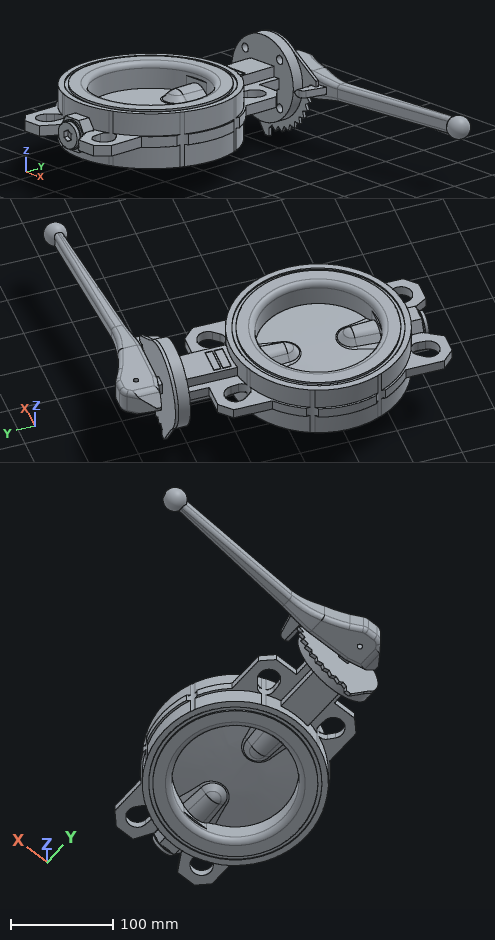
import cadquery as cq
import math


housing_radius = 91.0
housing_half_height = 28.5
liner_radius = 161 / 2
liner_half_height = 29.0
groove_radius = 169.0 / 2
groove_bottom = 26.7
bore_radius = 124.0 / 2
bore_rounding = 6.2

rib_radius = 93.0
rib_thickness = 11.0
lug_half_width = 62.5
lug_end = 121.0
lug_chamfer = 12.5
lug_gap_half_width_outer = 28.5
lug_gap_half_width_inner = 16.8
lug_gap_bottom = 101.5
bolt_count = 8
bolt_circle_radius = 99.5
bolt_hole_diameter = 18.0
slot_diameter = 22.5
slot_centre = (41, 99.5)

disc_edge_half = 2.0
disc_centre_half = 4.5
seat_flat = 60.5
seat_half_height = 19.0
boss_end_centre = 34.5
boss_root_scale = 1.15
boss_foot = (20.5, 2.0)
boss_ankle = (14.5, 4.8)
boss_shoulder = (8.5, 11.0)
boss_crest_side = (4.5, 13.7)
boss_crest = 14.7

neck_width = 34.3
neck_depth = 33.0
web_width = 48.7
flange_bottom = 147.0
flange_top = 159.5
flange_radius = 90.0 / 2
flange_hole_diameter = 9.0
flange_hole_offset = 25.0
label_width = 26.5
label_centres_and_heights = ((98.8, 8.5), (108.7, 7.2))
label_depth = 0.7

plate_top = 163.0
tooth_count = 9
tooth_pitch = 10
tooth_tip_radius = 57.0
tooth_root_radius = 51.8
stop_end = 64.0
stop_outer = 10.0
stop_inner = 4.0
stop_base = 55.5

hex_flats = 33.3
hex_end = 103.5
collar_diameter = 30.0
collar_end = 105.5
cap_diameter = 27.0
cap_end = 109.7
socket_flats = 10.3
socket_depth = 5.0

head_half_width = 14.0
head_bottom = 166.3
head_top = 207.0
rod_half_width = 9.0
rod_start = 84.5
rod_end = 233.2
head_rounding = 4.8
head_end = 47.3
head_end_top = 190.5
nose_tip = -32.5
nose_bottom = 172.8
nose_top = 178.0
nose_half_width = 1.7
nose_rounding = 2.0
nose_shoulder = -17.5
shoulder_rounding = 12.0
crown_start = -11.3
crown_end = 8.0
crown_rounding = 11.0
back_start = (22.3, 199.5)
back_middle = (34.3, 194.8)
throat_sections = ((58.3, 166.5, 187.5, 12.7), (70.3, 167.7, 185.5, 10.5))
rod_start_bottom = 169.5
rod_start_top = 184.8
rod_end_bottom = 185
rod_end_top = 194.8
rod_rounding = 4.0
pin_hole_diameter = 5.0
pin_hole_height = 188.3
ball_diameter = 24
ball_centre = (238.0, 190.0)
stem_side = 12.0
finger_front = 51.8
finger_nose = 5.0
finger_half_width = 3.8
finger_bottom = 141.5
finger_top = 169.7
finger_back_top = 71.0
finger_back_bottom = 63.8
finger_tip_rounding = 6.0


def square_to_y(y):
    """Workplane at height y whose extrusions run towards -Y (local axes X and Z)."""
    return cq.Workplane("XZ", origin=(0, y, 0))


def slab(thickness):
    """Workplane for a slab of this thickness centred on the mid-plane."""
    return cq.Workplane("XY").workplane(offset=-thickness / 2)


def make_ring():
    """Housing ring with its liner, seal grooves and rounded bore."""
    profile = (
        cq.Workplane("XZ")
        .moveTo(bore_radius, 0)
        .lineTo(bore_radius, liner_half_height - bore_rounding)
        .radiusArc((bore_radius + bore_rounding, liner_half_height), bore_rounding)
        .lineTo(liner_radius, liner_half_height)
        .lineTo(liner_radius, groove_bottom)
        .lineTo(groove_radius, groove_bottom)
        .lineTo(groove_radius, housing_half_height)
        .lineTo(housing_radius, housing_half_height)
        .lineTo(housing_radius, 0)
        .close()
    )
    half = profile.revolve(360, (0, 0, 0), (0, 1, 0))
    return half.union(half.mirror("XY"))


def make_rib_and_lugs():
    """Mid-plane rib with the upper lug pair and the notched lower lug pair."""
    lugs = slab(rib_thickness).rect(2 * lug_half_width, 2 * lug_end).extrude(rib_thickness)
    lugs = lugs.edges("|Z").chamfer(lug_chamfer)
    gap = (
        slab(rib_thickness)
        .moveTo(-lug_gap_half_width_outer, -lug_end)
        .lineTo(-lug_gap_half_width_inner, -lug_gap_bottom)
        .lineTo(-lug_gap_half_width_inner, -housing_radius)
        .lineTo(lug_gap_half_width_inner, -housing_radius)
        .lineTo(lug_gap_half_width_inner, -lug_gap_bottom)
        .lineTo(lug_gap_half_width_outer, -lug_end)
        .close()
        .extrude(rib_thickness)
    )
    rib = slab(rib_thickness).circle(rib_radius).extrude(rib_thickness)
    bore = slab(rib_thickness).circle(liner_radius).extrude(rib_thickness)
    return lugs.union(rib).cut(gap).cut(bore)


def make_bolt_clearances():
    """Bolt grooves on the housing rim and the slotted holes in the four lugs."""
    height = 2 * liner_half_height
    grooves = (
        slab(height)
        .polarArray(bolt_circle_radius, 180 / bolt_count, 360, bolt_count)
        .circle(bolt_hole_diameter / 2)
        .extrude(height)
    )
    lug_angle = math.radians(90 - 180 / bolt_count)
    bolt_point = (bolt_circle_radius * math.cos(lug_angle), bolt_circle_radius * math.sin(lug_angle))
    outline = (
        cq.Sketch()
        .arc(bolt_point, bolt_hole_diameter / 2, 0, 360)
        .arc(slot_centre, slot_diameter / 2, 0, 360)
        .hull()
    )
    slot = slab(rib_thickness).placeSketch(outline).extrude(rib_thickness)
    slots = slot.union(slot.mirror("YZ"))
    return grooves.union(slots).union(slots.mirror("XZ"))


def boss_half_points(scale):
    """Half section of a shaft boss from foot to crest: spread foot, sloping flank, rounded crest."""
    return [(x * scale, z) for x, z in (boss_foot, boss_ankle, boss_shoulder, boss_crest_side)]


def boss_section(y, scale):
    """Full cross section of a shaft boss in the plane at height y."""
    foot, ankle, shoulder, _ = boss_half_points(scale)
    right = [(foot[0], 0), foot, ankle, shoulder]
    left = [(-x, z) for x, z in right]
    outline = square_to_y(y).polyline(right).threePointArc((0, boss_crest), left[-1])
    for point in reversed(left[:-1]):
        outline = outline.lineTo(*point)
    return outline.close()


def make_boss():
    """Shaft boss on the +Y side: a widening ridge with a turned, rounded inner end."""
    foot, ankle, shoulder, crest_side = boss_half_points(1)
    end = (
        square_to_y(boss_end_centre)
        .polyline([(0, 0), (foot[0], 0), foot, ankle, shoulder])
        .threePointArc(crest_side, (0, boss_crest))
        .close()
        .revolve(360, (0, 0, 0), (0, 1, 0))
    )
    ridge_end = boss_section(boss_end_centre, 1).wires().val()
    ridge_root = boss_section(seat_flat, boss_root_scale).wires().val()
    return end.union(cq.Workplane(cq.Solid.makeLoft([ridge_end, ridge_root], True)))


def make_disc():
    """Domed disc with shaft bosses on both faces and flat-faced seats at the bore."""
    dome_rise = disc_centre_half - disc_edge_half
    dome_radius = (bore_radius**2 + dome_rise**2) / (2 * dome_rise)
    half_dome = (
        cq.Workplane("XZ")
        .lineTo(bore_radius, 0)
        .lineTo(bore_radius, disc_edge_half)
        .radiusArc((0, disc_centre_half), -dome_radius)
        .close()
        .revolve(360, (0, 0, 0), (0, 1, 0))
    )
    upper_boss = make_boss()
    half_disc = half_dome.union(upper_boss).union(upper_boss.mirror("XZ"))
    seat_height = 2 * seat_half_height
    inside = slab(seat_height).circle(bore_radius).extrude(seat_height)
    seats = inside.cut(cq.Workplane("XY").box(2 * bore_radius, 2 * seat_flat, seat_height))
    return half_disc.union(half_disc.mirror("XY")).intersect(inside).union(seats)


def make_neck():
    """Neck block with side webs and two shallow label recesses."""
    length = flange_bottom - liner_radius
    centre = (0, (flange_bottom + liner_radius) / 2, 0)
    neck = cq.Workplane("XY", origin=centre).box(neck_width, length, neck_depth)
    neck = neck.union(cq.Workplane("XY", origin=centre).box(web_width, length, rib_thickness))
    face = cq.Workplane("XY", origin=(0, 0, neck_depth / 2))
    for label_centre, label_height in label_centres_and_heights:
        label = face.center(0, label_centre).rect(label_width, label_height).extrude(-label_depth)
        neck = neck.cut(label)
    return neck


def make_ratchet_plate():
    """Round plate with a toothed quarter sector running from the -Z stop to the +X stop."""
    corner = flange_radius * math.cos(math.radians(45))
    first_stop = [
        (-corner, -corner),
        (-stop_outer, -stop_end),
        (-stop_inner, -stop_end),
        (-stop_inner, -stop_base),
    ]
    teeth = []
    for step in range(2 * tooth_count + 1):
        angle = math.radians(step * tooth_pitch / 2)
        radius = tooth_tip_radius if step % 2 else tooth_root_radius
        teeth.append((radius * math.sin(angle), -radius * math.cos(angle)))
    second_stop = [(-z, -x) for x, z in reversed(first_stop)]
    thickness = plate_top - flange_top
    sector = square_to_y(plate_top).polyline(first_stop + teeth + second_stop + [(0, 0)]).close()
    return sector.extrude(thickness).union(square_to_y(plate_top).circle(flange_radius).extrude(thickness))


def make_top_flange():
    """Round mounting flange with four through holes."""
    thickness = flange_top - flange_bottom
    flange = square_to_y(flange_top).circle(flange_radius).extrude(thickness)
    holes = (
        square_to_y(flange_top)
        .rect(2 * flange_hole_offset, 2 * flange_hole_offset, forConstruction=True)
        .vertices()
        .circle(flange_hole_diameter / 2)
        .extrude(thickness)
    )
    return flange.cut(holes)


def make_bottom_plug():
    """Hexagonal boss with a stepped round plug and a hexagon socket."""
    corner = 2 / math.sqrt(3)
    plug = square_to_y(-liner_radius).polygon(6, hex_flats * corner).extrude(hex_end - liner_radius)
    plug = plug.union(square_to_y(-hex_end).circle(collar_diameter / 2).extrude(collar_end - hex_end))
    plug = plug.union(square_to_y(-collar_end).circle(cap_diameter / 2).extrude(cap_end - collar_end))
    socket = square_to_y(socket_depth - cap_end).transformed(rotate=(0, 0, 30))
    return plug.cut(socket.polygon(6, socket_flats * corner).extrude(socket_depth))


def make_valve():
    """Complete valve body with its closed disc."""
    housing = make_ring().union(make_rib_and_lugs()).cut(make_bolt_clearances())
    housing = housing.union(make_neck()).union(make_bottom_plug())
    return housing.union(make_disc()).union(make_top_flange())


def make_lever_head():
    """Lever head: rounded side outline cut to a wedge-shaped nose on the -X side."""
    side = (
        slab(2 * head_half_width)
        .moveTo(0, head_bottom)
        .lineTo(nose_tip, nose_bottom)
        .lineTo(nose_tip, nose_top)
        .lineTo(crown_start, head_top)
        .lineTo(crown_end, head_top)
        .lineTo(*back_start)
        .threePointArc(back_middle, (head_end, head_end_top))
        .lineTo(head_end, head_bottom)
        .close()
        .extrude(2 * head_half_width)
    )
    side = side.edges("|Z").edges(">Y").fillet(crown_rounding)
    side = side.edges("|Z").edges("<X").fillet(nose_rounding)
    side = side.faces("|Z").edges("not >X").fillet(head_rounding)
    half_plan = [
        (nose_tip, nose_half_width),
        (nose_shoulder, head_half_width),
        (head_end, head_half_width),
    ]
    mirrored = [(x, -z) for x, z in reversed(half_plan)]
    plan = square_to_y(head_top).polyline(half_plan + mirrored).close().extrude(head_top - head_bottom)
    shoulders = plan.edges("|Y").filter(lambda edge: abs(edge.Center().x - nose_shoulder) < 3.5)
    return side.intersect(shoulders.fillet(shoulder_rounding))


def rod_section(x, bottom, top, half_width, rounding):
    """Rounded rectangular cross section of the lever at position x."""
    outline = cq.Sketch().rect(top - bottom, 2 * half_width).vertices().fillet(rounding)
    return outline.moved(cq.Plane.named("YZ", (x, (top + bottom) / 2, 0)).location)


def make_rod():
    """Lever rod: a smooth transition from the head, then a straight taper to the ball."""
    head_side = rod_section(head_end, head_bottom, head_end_top, head_half_width, head_rounding)
    throat = [rod_section(*section, head_rounding) for section in throat_sections]
    rod_root = rod_section(rod_start, rod_start_bottom, rod_start_top, rod_half_width, rod_rounding)
    rod_tip = rod_section(rod_end, rod_end_bottom, rod_end_top, rod_half_width, rod_rounding)
    transition = cq.Workplane().placeSketch(head_side, *throat, rod_root).loft()
    straight = cq.Workplane().placeSketch(rod_root, rod_tip).loft()
    return transition.union(straight)


def make_finger():
    """Latch finger with a wedge nose that drops between the ratchet teeth."""
    side = (
        slab(2 * finger_half_width)
        .moveTo(finger_front, finger_top)
        .lineTo(finger_front, finger_bottom)
        .lineTo(finger_back_bottom, finger_bottom)
        .lineTo(finger_back_top, finger_top)
        .close()
        .extrude(2 * finger_half_width)
    )
    side = side.edges("|Z").edges("<Y").edges(">X").fillet(finger_tip_rounding)
    shoulder = finger_front + finger_nose
    nose_plan = [
        (finger_front, 0),
        (shoulder, finger_half_width),
        (finger_back_top, finger_half_width),
        (finger_back_top, -finger_half_width),
        (shoulder, -finger_half_width),
    ]
    wedge = square_to_y(finger_top).polyline(nose_plan).close().extrude(finger_top - finger_bottom)
    return side.intersect(wedge)


def make_lever_set():
    """Hand lever with its ball, latch finger, stem and ratchet plate."""
    lever = make_lever_head().union(make_rod())
    ball = cq.Workplane("XY", origin=(*ball_centre, 0)).sphere(ball_diameter / 2)
    stem_top = head_bottom + head_rounding
    stem = square_to_y(stem_top).rect(stem_side, stem_side).extrude(stem_top - plate_top)
    pin_hole = (
        slab(2 * head_half_width)
        .center(0, pin_hole_height)
        .circle(pin_hole_diameter / 2)
        .extrude(2 * head_half_width)
    )
    return lever.union(ball).union(make_finger()).union(stem).cut(pin_hole).union(make_ratchet_plate())


valve = make_valve()
lever_set = make_lever_set()
result = cq.Compound.makeCompound([valve.solids().val(), lever_set.solids().val()])